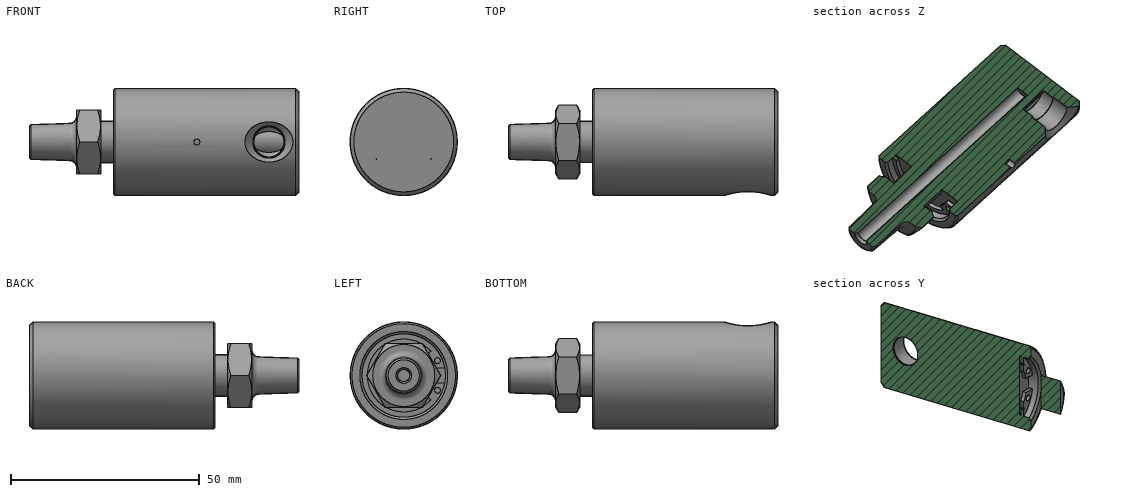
import cadquery as cq
import math

total_length = 71.4

spigot_end_radius = 4.65
spigot_taper = 1 / 32
spigot_length = 10.8
spigot_chamfer = 0.5
flare_radius = 1.65

nut_start = spigot_length + flare_radius
nut_length = 6.6
nut_across_flats = 17.0
nut_bevel_diameter = 16.4
nut_bevel_angle = 30.0

neck_diameter = 11.0
shaft_diameter = 7.9
bore_diameter = 3.2
bore_mouth_diameter = 4.15
bore_mouth_depth = 0.9

body_start = 22.2
body_diameter = 28.4
front_chamfer = 0.5
rear_chamfer = 1.0

recess_diameter = 22.05
recess_mouth_diameter = 23.3
recess_depth = 3.7

ring_depth = 2.35
ring_thickness = 1.1
ring_inner_diameter = 19.3
ring_gap = 4.1
lug_inner_radius = 8.2
lug_half_angle = 42.0
lug_hole_diameter = 1.6
lug_hole_y = -8.9
lug_hole_z = 3.9

port_x = 63.4
port_rim_radius = 6.35
port_radius = 4.3
port_taper = 1 / 32
port_ledge_y = -7.35
port_drill_diameter = 7.9
port_floor_y = -3.6
port_tip_angle = 118.0
pin_hole_x = 44.3
pin_hole_diameter = 1.6
pin_hole_depth = 2.15

body_radius = body_diameter / 2
recess_floor = body_start + recess_depth
bore_end = port_x


def cylinder(start, length, diameter):
    """Solid cylinder on the X axis."""
    return cq.Workplane("YZ", origin=(start, 0, 0)).circle(diameter / 2).extrude(length)


def revolve_about_x(profile):
    return profile.revolve(360, (0, 0, 0), (1, 0, 0))


def make_spigot():
    root_radius = spigot_end_radius + spigot_length * spigot_taper
    flare_mid = flare_radius * math.sin(math.radians(45))
    profile = (
        cq.Workplane("XY")
        .lineTo(0, spigot_end_radius - spigot_chamfer)
        .lineTo(spigot_chamfer, spigot_end_radius + spigot_chamfer * spigot_taper)
        .lineTo(spigot_length, root_radius)
        .threePointArc(
            (spigot_length + flare_mid, root_radius + flare_radius - flare_mid),
            (nut_start, root_radius + flare_radius),
        )
        .lineTo(nut_start, 0)
        .close()
    )
    return revolve_about_x(profile)


def make_nut():
    corner_diameter = nut_across_flats / math.cos(math.radians(30))
    hexagon = (
        cq.Workplane("YZ", origin=(nut_start, 0, 0))
        .polygon(6, corner_diameter)
        .extrude(nut_length)
    )
    bevel_radial = (corner_diameter - nut_bevel_diameter) / 2
    bevel_axial = bevel_radial * math.tan(math.radians(nut_bevel_angle))
    envelope = (
        cylinder(nut_start, nut_length, corner_diameter)
        .faces("<X or >X")
        .chamfer(bevel_axial, bevel_radial)
    )
    return hexagon.intersect(envelope)


def make_body():
    body = cylinder(body_start, total_length - body_start, body_diameter)
    body = body.faces("<X").chamfer(front_chamfer)
    body = body.faces(">X").chamfer(rear_chamfer)
    return body.cut(make_recess())


def make_recess():
    """Round recess with a 45 degree bevelled mouth."""
    radius = recess_diameter / 2
    mouth_radius = recess_mouth_diameter / 2
    profile = (
        cq.Workplane("XY")
        .moveTo(body_start, 0)
        .lineTo(body_start, mouth_radius)
        .lineTo(body_start + mouth_radius - radius, radius)
        .lineTo(recess_floor, radius)
        .lineTo(recess_floor, 0)
        .close()
    )
    return revolve_about_x(profile)


def make_retaining_ring():
    start = body_start + ring_depth
    disc = cylinder(start, ring_thickness, recess_diameter)
    opening = cylinder(start, ring_thickness, ring_inner_diameter)
    lug_reach = recess_diameter
    lug_sector = (
        cq.Workplane("YZ", origin=(start, 0, 0))
        .polyline([
            (0, 0),
            (-lug_reach, lug_reach * math.tan(math.radians(lug_half_angle))),
            (-lug_reach, -lug_reach * math.tan(math.radians(lug_half_angle))),
        ])
        .close()
        .extrude(ring_thickness)
    )
    lug_clearance = cylinder(start, ring_thickness, 2 * lug_inner_radius)
    ring = disc.cut(opening.cut(lug_sector)).cut(lug_clearance)
    gap = (
        cq.Workplane("XY")
        .box(ring_thickness, recess_diameter, ring_gap, centered=(False, False, True))
        .translate((start, -recess_diameter, 0))
    )
    lug_holes = (
        cq.Workplane("YZ", origin=(start, 0, 0))
        .pushPoints([(lug_hole_y, -lug_hole_z), (lug_hole_y, lug_hole_z)])
        .circle(lug_hole_diameter / 2)
        .extrude(ring_thickness)
    )
    return ring.cut(gap).cut(lug_holes)


def make_port():
    """Countersunk, tapered port with a drill-point floor; the shaft stays whole inside it."""
    neck_y = -body_radius + port_rim_radius - port_radius
    ledge_radius = port_radius - (port_ledge_y - neck_y) * port_taper
    drill_radius = port_drill_diameter / 2
    tip_y = port_floor_y + drill_radius / math.tan(math.radians(port_tip_angle / 2))
    clearance = 0.7
    profile = (
        cq.Workplane("XY")
        .moveTo(0, tip_y)
        .lineTo(drill_radius, port_floor_y)
        .lineTo(drill_radius, port_ledge_y)
        .lineTo(ledge_radius, port_ledge_y)
        .lineTo(port_radius, neck_y)
        .lineTo(port_rim_radius + clearance, -body_radius - clearance)
        .lineTo(0, -body_radius - clearance)
        .close()
    )
    port = profile.revolve(360, (0, 0, 0), (0, 1, 0)).translate((port_x, 0, 0))
    return port.cut(cylinder(body_start, total_length - body_start, shaft_diameter))


def make_pin_hole():
    return (
        cq.Workplane("XZ", origin=(pin_hole_x, -body_radius + pin_hole_depth, 0))
        .circle(pin_hole_diameter / 2)
        .extrude(2 * pin_hole_depth)
    )


def make_bore():
    """Blind axial bore with a steep conical lead-in."""
    radius = bore_diameter / 2
    profile = (
        cq.Workplane("XY")
        .lineTo(0, bore_mouth_diameter / 2)
        .lineTo(bore_mouth_depth, radius)
        .lineTo(bore_end, radius)
        .lineTo(bore_end, 0)
        .close()
    )
    return revolve_about_x(profile)


neck = cylinder(nut_start, recess_floor - nut_start, neck_diameter)
result = (
    make_body()
    .cut(make_port())
    .cut(make_pin_hole())
    .union(make_retaining_ring())
    .union(neck)
    .union(make_nut())
    .union(make_spigot())
    .cut(make_bore())
)